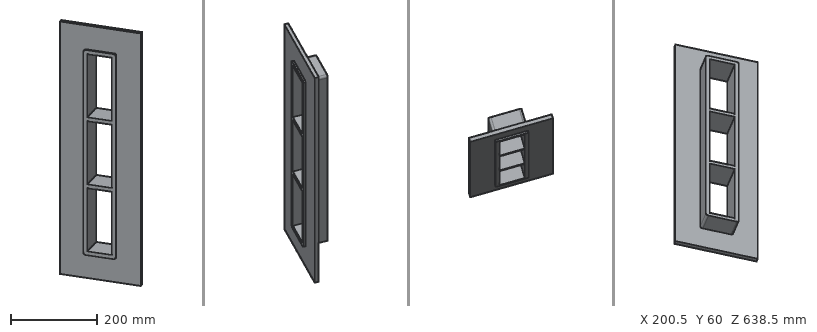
import cadquery as cq

plate_border = 60.0
plate_thickness = 10.0
plate_front_y = 0.0

window_width = 60.5
window_height = 159.5
window_count = 3
wall = 10.0
frame_depth = 60.0
frame_front_projection = 5.0
frame_corner_radius = 6.0

window_pitch = window_height + wall
frame_front_y = plate_front_y - frame_front_projection
frame_width = window_width + 2 * wall
frame_height = window_count * window_pitch + wall
plate_width = frame_width + 2 * plate_border
plate_height = frame_height + 2 * plate_border


def block(width, depth, height, front_y):
    """Box centred on X and Z whose front face lies at front_y."""
    return cq.Workplane("XY").box(width, depth, height).translate((0, front_y + depth / 2, 0))


def make_plate():
    return block(plate_width, plate_thickness, plate_height, plate_front_y)


def make_frame():
    frame = block(frame_width, frame_depth, frame_height, frame_front_y)
    return frame.edges("|Y").fillet(frame_corner_radius)


def cut_windows(body):
    """Cut the column of rectangular windows straight through the body along Y."""
    for index in range(window_count):
        center_z = (index - (window_count - 1) / 2) * window_pitch
        window = block(window_width, frame_depth, window_height, frame_front_y)
        body = body.cut(window.translate((0, 0, center_z)))
    return body


result = cut_windows(make_plate().union(make_frame()))